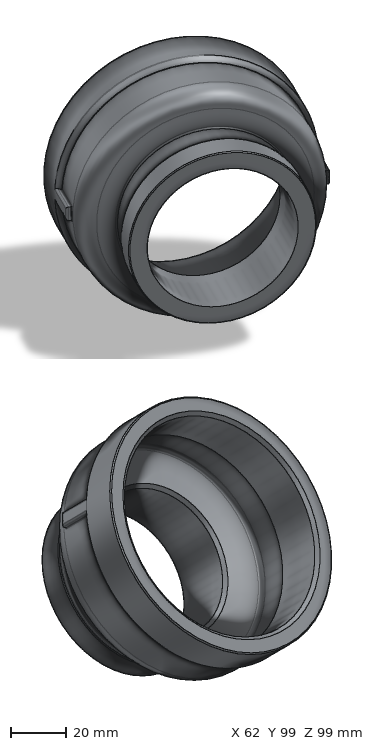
import cadquery as cq
import math

total_length = 62.0
collar_end = 15.0
shoulder_start = 31.5
flange_start = 51.5
rib_end = 29.9

collar_radius = 99.0 / 2
body_radius = 95.0 / 2
neck_radius = 67.0 / 2
flange_radius = 70.5 / 2

large_bore_radius = 85.0 / 2
relief_radius = 87.0 / 2
small_bore_radius = 56.6 / 2
large_bore_depth = 20.8
small_bore_start = 37.0

collar_chamfer = 0.5
flange_chamfer = 0.4
neck_fillet = 0.7
shoulder_fillet = 8.0
relief_fillet = 2.0
bore_chamfer_height = 1.5
bore_chamfer_length = 1.2
ramp_fillet = 0.3

cone_tilt_degrees = 10.0
cone_tilt = math.radians(cone_tilt_degrees)

ramp_end = collar_end + collar_radius - body_radius

rib_width = 5.6
rib_fillet = 0.8
root_fillet = 0.3

tolerance = 0.05


def round_corner(start_x, wall_radius, fillet):
    """Middle and end of the arc that turns from a cylinder into the shoulder cone."""
    sweep = math.pi / 2 - cone_tilt
    return [
        (start_x + fillet * math.sin(angle), wall_radius - fillet * (1 - math.cos(angle)))
        for angle in (sweep / 2, sweep)
    ]


def revolve_profile(profile):
    """Close an outline along the X axis and turn it once around that axis."""
    return profile.close().revolve(360, (0, 0, 0), (1, 0, 0))


def edges_at_radius(solid, radius):
    """Edges whose middle lies at the given distance from the X axis."""
    found = []
    for edge in solid.edges().vals():
        middle = edge.positionAt(0.5)
        if abs(math.hypot(middle.y, middle.z) - radius) < tolerance:
            found.append(edge)
    return found


def make_outside():
    """Solid outer shape: collar, ramp, body, shoulder, neck and end flange."""
    shoulder_middle, shoulder_end = round_corner(shoulder_start, body_radius, shoulder_fillet)
    cone_end_x = shoulder_end[0] + (shoulder_end[1] - neck_radius) * math.tan(cone_tilt)
    profile = (
        cq.Workplane("XY")
        .lineTo(0, collar_radius - collar_chamfer)
        .lineTo(collar_chamfer, collar_radius)
        .lineTo(collar_end, collar_radius)
        .lineTo(ramp_end, body_radius)
        .lineTo(shoulder_start, body_radius)
        .threePointArc(shoulder_middle, shoulder_end)
        .lineTo(cone_end_x, neck_radius)
        .lineTo(flange_start, neck_radius)
        .lineTo(flange_start, flange_radius - flange_chamfer)
        .lineTo(flange_start + flange_chamfer, flange_radius)
        .lineTo(total_length - flange_chamfer, flange_radius)
        .lineTo(total_length, flange_radius - flange_chamfer)
        .lineTo(total_length, 0)
    )
    outside = revolve_profile(profile)
    neck_ends = [
        edge
        for edge in edges_at_radius(outside, neck_radius)
        if edge.geomType() != "LINE"
    ]
    outside = outside.newObject(neck_ends).fillet(neck_fillet)
    collar_rim = [
        edge
        for edge in edges_at_radius(outside, collar_radius)
        if abs(edge.positionAt(0).x - collar_end) < tolerance and edge.geomType() != "LINE"
    ]
    return outside.newObject(collar_rim).fillet(ramp_fillet)


def make_cavity():
    """Inner space: large bore, wider relief behind it, cone wall and small bore."""
    chamfer_top = small_bore_radius + bore_chamfer_height
    corner_rise = relief_fillet * (1 - math.sin(cone_tilt))
    cone_top = relief_radius - corner_rise
    cone_length = (cone_top - chamfer_top) * math.tan(cone_tilt)
    relief_end = small_bore_start - cone_length - relief_fillet * math.cos(cone_tilt)
    corner_middle, corner_end = round_corner(relief_end, relief_radius, relief_fillet)
    profile = (
        cq.Workplane("XY")
        .lineTo(0, large_bore_radius + bore_chamfer_height)
        .lineTo(bore_chamfer_length, large_bore_radius)
        .lineTo(large_bore_depth, large_bore_radius)
        .lineTo(large_bore_depth, relief_radius)
        .lineTo(relief_end, relief_radius)
        .threePointArc(corner_middle, corner_end)
        .lineTo(small_bore_start, chamfer_top)
        .lineTo(small_bore_start + bore_chamfer_length, small_bore_radius)
        .lineTo(total_length, small_bore_radius)
        .lineTo(total_length, 0)
    )
    return revolve_profile(profile)


def make_ribs():
    """A bar across the body, trimmed to the collar radius and rounded on its outer edges."""
    bar_start = collar_end / 2
    bar = cq.Workplane("XY").box(
        rib_end - bar_start, 2 * collar_radius, rib_width, centered=(False, True, True)
    ).translate((bar_start, 0, 0))
    cylinder = cq.Workplane("YZ").circle(collar_radius).extrude(rib_end)
    bar = bar.intersect(cylinder)
    return bar.faces("%CYLINDER").edges("not <X").fillet(rib_fillet)


def round_roots(body):
    """Round the corner where the ramp and the ribs meet the body cylinder."""
    roots = [
        edge
        for edge in edges_at_radius(body, body_radius)
        if ramp_end - tolerance < edge.positionAt(0.5).x < rib_end + tolerance
    ]
    return body.newObject(roots).fillet(root_fillet)


result = round_roots(make_outside().union(make_ribs())).cut(make_cavity())